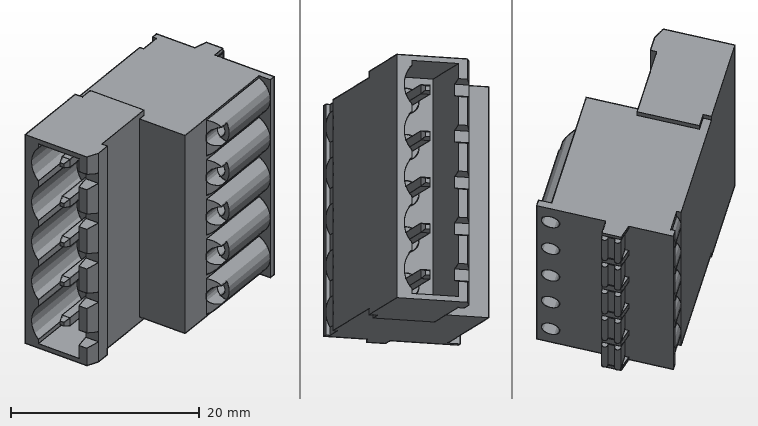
import cadquery as cq


ways = 5
pitch = 5.0
way_levels = [(i - (ways - 1) / 2) * pitch for i in range(ways)]
gap_levels = [(i - ways / 2) * pitch for i in range(ways + 1)]

header_height = 26.32
header_width = 7.77
header_rear = 10.98
step_width = 0.92
step_rear = 9.5
lip_outer = 8.47
lip_front = 7.85
lip_length = 3.0
lip_taper = 1.3

end_wall = 0.57
pocket_left = 1.67
pocket_right = 6.85
pocket_depth = 8.65
scallop_left = 0.8
scallop_half_chord = 2.08
notch_inner_height = 1.25
notch_outer_height = 1.95
pin_x = 3.83
pin_size = 1.0
pin_tip_size = 0.49
pin_front = 1.3
pin_taper = 0.75
collar_radius = 1.38
collar_height = 0.27

body_height = ways * pitch
body_front = 10.15
body_rear = 24.97
body_width = 13.58
overall_width = 15.0
flange_front = 24.2

tower_radius = pitch / 2
tower_x = overall_width - tower_radius
tower_front = 14.2
bore_x = 14.63
bore_radius = 1.13
bore_end = 16.38
through_x = 13.47
through_radius = 1.0

groove_front = 21.78
groove_depth = 0.49
grip_half_chord = 1.62

tab_left_base = 4.89
tab_left = 5.3
tab_right = 7.42
tab_rear = 26.53
wide_tab_height = 3.78
narrow_tab_height = 0.92
bead_radius = 0.35
bead_rear = 27


def box(x0, x1, y0, y1, height, level=0):
    """Box between two X and two Y limits, centred on a Z level."""
    return (
        cq.Workplane("XY")
        .box(x1 - x0, y1 - y0, height, centered=(False, False, True))
        .translate((x0, y0, level))
    )


def profile(points, height, level=0):
    """XY outline extruded along Z, centred on a Z level."""
    outline = cq.Workplane("XY", origin=(0, 0, level)).polyline(points).close()
    return outline.extrude(height / 2, both=True)


def cylinder_y(x, level, radius, y0, y1):
    """Cylinder along Y between two Y limits."""
    return cq.Workplane("XZ", origin=(x, y0, level)).circle(radius).extrude(y0 - y1)


def chord_radius(half_chord, rise):
    """Radius of the arc with a given half chord and rise."""
    return (half_chord**2 + rise**2) / (2 * rise)


def make_header():
    """Housing with the stepped rear edge and the tapered latching lip."""
    outline = [
        (0, 0),
        (lip_front, 0),
        (lip_outer, lip_taper),
        (lip_outer, lip_length),
        (header_width, lip_length),
        (header_width, header_rear),
        (step_width, header_rear),
        (step_width, step_rear),
        (0, step_rear),
    ]
    return profile(outline, header_height)


def make_pocket():
    """Mating pocket: a rectangle with a round scallop at each way."""
    pocket = box(pocket_left, pocket_right, 0, pocket_depth, header_height - 2 * end_wall)
    radius = chord_radius(scallop_half_chord, pocket_left - scallop_left)
    for level in way_levels:
        scallop = cylinder_y(scallop_left + radius, level, radius, 0, pocket_depth)
        pocket = pocket.union(scallop.intersect(box(0, pin_x, 0, pocket_depth, pitch, level)))
    return pocket


def make_notch(level):
    """Bevelled coding notch through the front of the lip wall."""
    outer = notch_outer_height / 2
    inner = notch_inner_height / 2
    return (
        cq.Workplane("YZ", origin=(pocket_right, 0, level))
        .polyline([(0, -outer), (0, outer), (lip_taper, inner), (lip_taper, -inner)])
        .close()
        .extrude(lip_outer - pocket_right)
    )


def make_pin(level):
    """Square pin with a pyramidal tip, standing on a round collar."""
    shank_front = pin_front + pin_taper
    half = pin_size / 2
    shank = box(pin_x - half, pin_x + half, shank_front, pocket_depth, pin_size, level)
    tip = (
        cq.Workplane("XZ", origin=(pin_x, shank_front, level))
        .rect(pin_size, pin_size)
        .workplane(offset=pin_taper)
        .rect(pin_tip_size, pin_tip_size)
        .loft(ruled=True)
    )
    collar = cylinder_y(pin_x, level, collar_radius, pocket_depth - collar_height, pocket_depth)
    return shank.union(tip).union(collar)


def make_tower(level):
    """Screw tower rounded along Y, with a 45 degree front end."""
    bevel = overall_width - body_width
    envelope = profile(
        [
            (tower_x, tower_front),
            (body_width, tower_front),
            (overall_width, tower_front + bevel),
            (overall_width, flange_front),
            (tower_x, flange_front),
        ],
        pitch,
        level,
    )
    return cylinder_y(tower_x, level, tower_radius, tower_front, flange_front).intersect(envelope)


def make_grip(level):
    """Shallow convex grip pad filling part of the groove."""
    radius = chord_radius(grip_half_chord, groove_depth)
    pad = cylinder_y(radius, level, radius, groove_front, flange_front)
    return pad.intersect(box(0, groove_depth, groove_front, flange_front, pitch, level))


def make_body():
    """Plug body with rear flange, screw towers, wire bores and grip pads."""
    body = box(0, body_width, body_front, body_rear, body_height)
    body = body.union(box(0, header_width, step_rear, body_front, body_height))
    body = body.union(box(0, overall_width, flange_front, body_rear, body_height))
    body = body.cut(box(0, groove_depth, groove_front, flange_front, body_height))
    for level in way_levels:
        body = body.union(make_tower(level)).union(make_grip(level))
    for level in way_levels:
        body = body.cut(cylinder_y(bore_x, level, bore_radius, tower_front, bore_end))
        body = body.cut(cylinder_y(through_x, level, through_radius, bore_end, body_rear))
    return body


def make_wide_tab(level):
    """Rear tab with two rounded beads along its end."""
    tab = box(tab_left, tab_right, body_rear, tab_rear, wide_tab_height, level)
    bead_y = bead_rear - bead_radius
    for bead_x in (tab_left + bead_radius, tab_right - bead_radius):
        bead = cq.Workplane("XY", origin=(bead_x, bead_y, level)).circle(bead_radius)
        tab = tab.union(bead.extrude(wide_tab_height / 2, both=True))
    return tab


def make_narrow_tab(level):
    """Rear tab between the wide ones, sloping on its -X side."""
    outline = [
        (tab_left_base, body_rear),
        (tab_right, body_rear),
        (tab_right, tab_rear),
        (tab_left, tab_rear),
    ]
    return profile(outline, narrow_tab_height, level)


def make_tabs():
    """All rear tabs; the two end ones are cut flush with the body."""
    tabs = make_wide_tab(way_levels[0])
    for level in way_levels[1:]:
        tabs = tabs.union(make_wide_tab(level))
    for level in gap_levels:
        tabs = tabs.union(make_narrow_tab(level))
    return tabs.intersect(box(0, overall_width, body_rear, bead_rear, body_height))


connector = make_header().union(make_body())
connector = connector.cut(make_pocket())
for way_level in way_levels:
    connector = connector.cut(make_notch(way_level)).union(make_pin(way_level))

result = connector.union(make_tabs())